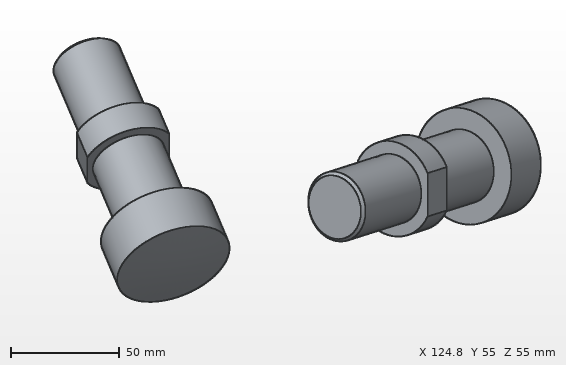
import cadquery as cq
import math

total_length = 124.8
shank_diameter = 33.0
shank_chamfer = 1.5
collar_start = 44.9
collar_width = 15.0
collar_diameter = 45.0
collar_across_flats = 40.0
neck_diameter = 35.0
head_start = 100.0
head_diameter = 55.0
crown_height = 1.7

collar_end = collar_start + collar_width
head_radius = head_diameter / 2
rim_end = total_length - crown_height
crown_radius = (head_radius**2 + crown_height**2) / (2 * crown_height)


def cylinder_along_x(start, end, diameter):
    return cq.Workplane("YZ", origin=(start, 0, 0)).circle(diameter / 2).extrude(end - start)


def make_shank():
    return cylinder_along_x(0, collar_start, shank_diameter).faces("<X").chamfer(shank_chamfer)


def make_collar():
    """Round collar with two parallel flats facing -Y and +Y."""
    flats = cq.Workplane("XY").box(collar_width, collar_across_flats, collar_diameter)
    flats = flats.translate((collar_start + collar_width / 2, 0, 0))
    return cylinder_along_x(collar_start, collar_end, collar_diameter).intersect(flats)


def make_head():
    """Round head with a shallow spherical crown on its +X end."""
    crown_mid_radius = head_radius / 2
    crown_mid_x = total_length - crown_radius + math.sqrt(crown_radius**2 - crown_mid_radius**2)
    half_profile = (
        cq.Workplane("XY")
        .moveTo(head_start, 0)
        .lineTo(head_start, head_radius)
        .lineTo(rim_end, head_radius)
        .threePointArc((crown_mid_x, crown_mid_radius), (total_length, 0))
        .close()
    )
    return half_profile.revolve(360, (0, 0, 0), (1, 0, 0))


neck = cylinder_along_x(collar_end, head_start, neck_diameter)
result = make_shank().union(make_collar()).union(neck).union(make_head())